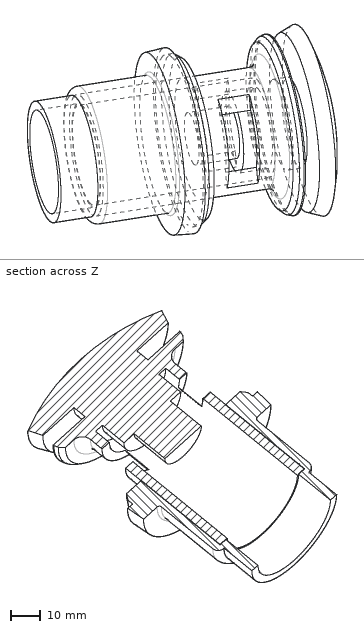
import cadquery as cq
import math


TUBE_RADIUS = 20.9
SEAT_Y = 14.9

DOME_TOP_Y = 100.0
CAP_EDGE_Y = 93.4
CAP_EDGE_RADIUS = 33.0
CAP_BASE_Y = 88.3
CAP_BASE_RADIUS = 30.9
STEM_RADIUS = 15.6
RIM_TOP_Y = 83.3
RIM_RADIUS = 31.2
RIM_LAND = 0.5
RIM_BASE_Y = 79.5
RIM_BASE_RADIUS = 29.0
RIM_SHOULDER_Y = 81.3
RIM_SHOULDER_RADIUS = 30.7
NECK_FILLET = 4.0
TUBE_BORE_RADIUS = 17.2
TUBE_BORE_TOP_Y = 76.5
PLUG_RADIUS = 14.0
PLUG_END_Y = 66.4
PIN_RADIUS = 9.0
PIN_END_Y = 52.0

WINDOW_TOP_Y = 70.1
WINDOW_BASE_Y = 59.2
WINDOW_COUNT = 2
WINDOW_TURN = 21.0
WINDOW_FLAT = PLUG_RADIUS

COLLAR_TOP_Y = 52.0
COLLAR_RADIUS = 29.6
COLLAR_TOP_RADIUS = 28.0
COLLAR_CHAMFER_HEIGHT = 2.2
FLANGE_TOP_Y = 47.7
FLANGE_TOP_RADIUS = 32.0
FLANGE_BASE_Y = 40.7
FLANGE_BASE_RADIUS = 31.4
SLEEVE_RADIUS = 23.7
SLEEVE_ROOT_FILLET = 1.0
SLEEVE_END_Y = 13.0
SLEEVE_END_FILLET = 2.6
TAIL_RADIUS = TUBE_RADIUS
TAIL_BORE_RADIUS = 17.8

QUARTER_ARC = math.sqrt(0.5)


def turn(profile):
    """Revolve a closed radius-height profile about the Y axis."""
    return profile.close().revolve(360, (0, 0, 0), (0, 1, 0))


def dome_midpoint():
    """Point halfway along the dome radius, on the sphere through its apex and edge."""
    rise = DOME_TOP_Y - CAP_EDGE_Y
    sphere_radius = (CAP_EDGE_RADIUS**2 + rise**2) / (2 * rise)
    radius = CAP_EDGE_RADIUS / 2
    drop = sphere_radius - math.sqrt(sphere_radius**2 - radius**2)
    return radius, DOME_TOP_Y - drop


def window_cutter(angle):
    """Block that removes the tube wall outside one chord plane."""
    depth = TUBE_RADIUS
    height = WINDOW_TOP_Y - WINDOW_BASE_Y
    block = cq.Workplane("XY").box(depth, height, 2 * TUBE_RADIUS)
    block = block.translate((WINDOW_FLAT + depth / 2, WINDOW_BASE_Y + height / 2, 0))
    return block.rotate((0, 0, 0), (0, 1, 0), angle)


def make_waste_body():
    neck_centre_radius = TUBE_RADIUS + NECK_FILLET
    neck_end_y = RIM_BASE_Y - NECK_FILLET
    neck_midpoint = (
        neck_centre_radius - NECK_FILLET * QUARTER_ARC,
        neck_end_y + NECK_FILLET * QUARTER_ARC,
    )
    profile = (
        cq.Workplane("XY")
        .moveTo(0, DOME_TOP_Y)
        .threePointArc(dome_midpoint(), (CAP_EDGE_RADIUS, CAP_EDGE_Y))
        .lineTo(CAP_BASE_RADIUS, CAP_BASE_Y)
        .lineTo(STEM_RADIUS, CAP_BASE_Y)
        .lineTo(STEM_RADIUS, RIM_TOP_Y)
        .lineTo(RIM_RADIUS, RIM_TOP_Y)
        .lineTo(RIM_RADIUS, RIM_TOP_Y - RIM_LAND)
        .lineTo(RIM_SHOULDER_RADIUS, RIM_SHOULDER_Y)
        .lineTo(RIM_BASE_RADIUS, RIM_BASE_Y)
        .lineTo(neck_centre_radius, RIM_BASE_Y)
        .threePointArc(neck_midpoint, (TUBE_RADIUS, neck_end_y))
        .lineTo(TUBE_RADIUS, SEAT_Y)
        .lineTo(TUBE_BORE_RADIUS, SEAT_Y)
        .lineTo(TUBE_BORE_RADIUS, TUBE_BORE_TOP_Y)
        .lineTo(PLUG_RADIUS, TUBE_BORE_TOP_Y)
        .lineTo(PLUG_RADIUS, PLUG_END_Y)
        .lineTo(PIN_RADIUS, PLUG_END_Y)
        .lineTo(PIN_RADIUS, PIN_END_Y)
        .lineTo(0, PIN_END_Y)
    )
    body = turn(profile).rotate((0, 0, 0), (0, 1, 0), -WINDOW_TURN)
    for index in range(WINDOW_COUNT):
        angle = index * 360 / WINDOW_COUNT - WINDOW_TURN
        body = body.cut(window_cutter(angle))
    return body


def make_tailpiece():
    root_radius = SLEEVE_RADIUS + SLEEVE_ROOT_FILLET
    root_end_y = FLANGE_BASE_Y - SLEEVE_ROOT_FILLET
    root_midpoint = (
        root_radius - SLEEVE_ROOT_FILLET * QUARTER_ARC,
        root_end_y + SLEEVE_ROOT_FILLET * QUARTER_ARC,
    )
    end_radius = SLEEVE_RADIUS - SLEEVE_END_FILLET
    end_start_y = SLEEVE_END_Y + SLEEVE_END_FILLET
    end_midpoint = (
        end_radius + SLEEVE_END_FILLET * QUARTER_ARC,
        end_start_y - SLEEVE_END_FILLET * QUARTER_ARC,
    )
    profile = (
        cq.Workplane("XY")
        .moveTo(TUBE_RADIUS, COLLAR_TOP_Y)
        .lineTo(COLLAR_TOP_RADIUS, COLLAR_TOP_Y)
        .lineTo(COLLAR_RADIUS, COLLAR_TOP_Y - COLLAR_CHAMFER_HEIGHT)
        .lineTo(COLLAR_RADIUS, FLANGE_TOP_Y)
        .lineTo(FLANGE_TOP_RADIUS, FLANGE_TOP_Y)
        .lineTo(FLANGE_BASE_RADIUS, FLANGE_BASE_Y)
        .lineTo(root_radius, FLANGE_BASE_Y)
        .threePointArc(root_midpoint, (SLEEVE_RADIUS, root_end_y))
        .lineTo(SLEEVE_RADIUS, end_start_y)
        .threePointArc(end_midpoint, (end_radius, SLEEVE_END_Y))
        .lineTo(TAIL_RADIUS, SLEEVE_END_Y)
        .lineTo(TAIL_RADIUS, 0)
        .lineTo(TAIL_BORE_RADIUS, 0)
        .lineTo(TAIL_BORE_RADIUS, SEAT_Y)
        .lineTo(TUBE_RADIUS, SEAT_Y)
    )
    return turn(profile)


waste_body = make_waste_body()
tailpiece = make_tailpiece()

result = cq.Compound.makeCompound([waste_body.val(), tailpiece.val()])